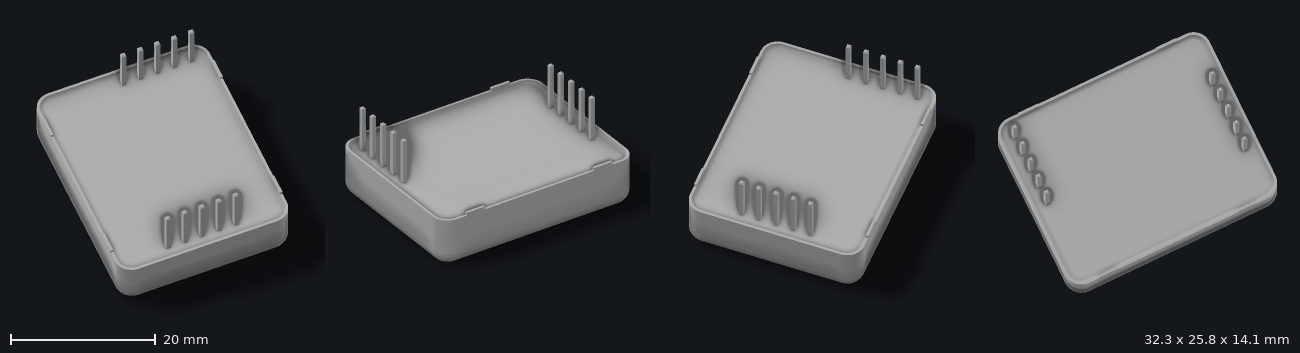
import cadquery as cq

length = 32.3
width = 25.8
total_height = 14.05
rim_height = 7.55
corner_radius = 2.5
base_fillet = 2.0
wall = 0.4

potting_depth = 0.52
meniscus_radius = potting_depth

tab_length = 3.05
tab_height = 0.45
tab_end_offset = 4.0

pin_side = 0.65
pin_pitch = 2.55
pins_per_row = 5
pin_row_inset = 2.2
pin_tip_chamfer = 0.2
left_row_lowest = 0
right_row_lowest = -2

potting_level = rim_height - potting_depth
pin_row_x = length / 2 - pin_row_inset
tab_center_x = length / 2 - tab_end_offset - tab_length / 2
tab_center_y = (width - wall) / 2


def make_case():
    """Rounded block with a filleted base and a shallow recess in the top."""
    block = (
        cq.Workplane("XY")
        .box(length, width, rim_height, centered=(True, True, False))
        .edges("|Z")
        .fillet(corner_radius)
        .faces("<Z")
        .edges()
        .fillet(base_fillet)
    )
    recess = (
        cq.Workplane("XY", origin=(0, 0, potting_level))
        .box(length - 2 * wall, width - 2 * wall, 2 * potting_depth, centered=(True, True, False))
        .edges("|Z")
        .fillet(corner_radius - wall)
        .faces("<Z")
        .edges()
        .fillet(meniscus_radius)
    )
    return block.cut(recess)


def make_tabs():
    """Four tabs flush with both sides of the wall, rooted down to the potting level."""
    centers = [(x, y) for x in (-tab_center_x, tab_center_x) for y in (-tab_center_y, tab_center_y)]
    return (
        cq.Workplane("XY", origin=(0, 0, potting_level))
        .pushPoints(centers)
        .rect(tab_length, wall)
        .extrude(potting_depth + tab_height)
    )


def make_pin_row(x, lowest):
    """Row of square pins along Y; lowest is the first pin's place in pitches from the center."""
    centers = [(x, (lowest + i) * pin_pitch) for i in range(pins_per_row)]
    return (
        cq.Workplane("XY", origin=(0, 0, potting_level))
        .pushPoints(centers)
        .rect(pin_side, pin_side)
        .extrude(total_height - potting_level)
        .faces(">Z")
        .edges()
        .chamfer(pin_tip_chamfer)
    )


result = (
    make_case()
    .union(make_tabs())
    .union(make_pin_row(-pin_row_x, left_row_lowest))
    .union(make_pin_row(pin_row_x, right_row_lowest))
)